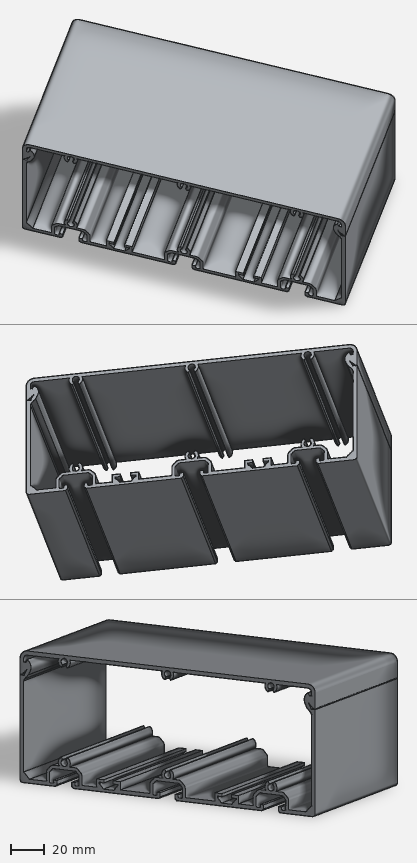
import cadquery as cq
import math

WIDTH = 200.0
LENGTH = 100.0
HEIGHT = 80.0
HALF_WIDTH = WIDTH / 2

WALL = 2.5
TOP_RADIUS = 5.0
BOTTOM_RADIUS = 2.0
INNER_BOTTOM_CHAMFER = 4.0
THIN_FLOOR = 1.8

PORT_X = (-70.0, 0.0, 70.0)
PORT_RADIUS = 4.1
PORT_BORE_RADIUS = 2.1
PORT_MOUTH = 2.3
PORT_MOUTH_FLARE = 4.6
PORT_LIP_HEIGHT = 2.0
TOP_PORT_Z = HEIGHT - 4.0

CHANNEL_HALF_WIDTH = 12.0
CHANNEL_WALL = 2.0
CHANNEL_TOP = 12.7
CHANNEL_CHAMFER = 3.5
CHANNEL_INNER_CHAMFER = CHANNEL_CHAMFER - (2 - math.sqrt(2)) * CHANNEL_WALL
CHANNEL_BLEND_RADIUS = 3.0
CHANNEL_FOOT_RADIUS = 0.7
CHANNEL_MOUTH = 10.0
CHANNEL_LIP_WIDTH = 2.2
CHANNEL_LIP_TOP = 3.7
CHANNEL_GROOVE_RADIUS = 0.9
CHANNEL_MOUTH_CHAMFER = 1.2
BOTTOM_PORT_Z = CHANNEL_TOP + PORT_BORE_RADIUS

RAIL_X = (-40.0, 40.0)
RAIL_HALF_WIDTH = 8.0
RAIL_TOP = 7.5
RAIL_MOUTH_HALF = 3.2
RAIL_CAVITY_HALF = 6.3
RAIL_FLOOR_HALF = 3.4
RAIL_LIP_BOTTOM = 5.6
RAIL_TAPER_TOP = 5.0

SNAP_TIP = (4.8, 5.2)
SNAP_CREST = (7.45, 9.4)
SNAP_HEEL = (6.9, 12.0)
SNAP_WAIST = (5.8, 14.3)
SNAP_FOOT = (3.1, 17.1)
SNAP_END = (WALL, 18.4)
SNAP_POCKET_DEPTH = 7.0
SNAP_POCKET_INSET = 3.8
SEAM_TOP = 14.7
SEAM_BOTTOM = 15.0
SEAM_BEND_INSET = 1.1
SEAM_HEEL_INSET = 2.7
SEAM_BULGE = (3.3, 13.6)
SEAM_END = (4.6, 11.4)


def prism(outline):
    """Extrude a closed XZ outline over the full length, centred on Y = 0."""
    return outline.extrude(LENGTH / 2, both=True)


def polygon(points):
    return prism(cq.Workplane("XZ").polyline(points).close())


def box(x_min, x_max, z_min, z_max):
    return polygon([(x_min, z_min), (x_max, z_min), (x_max, z_max), (x_min, z_max)])


def both_sides(body):
    return body.union(body.mirror("YZ"))


def shell():
    outer = box(-HALF_WIDTH, HALF_WIDTH, 0, HEIGHT)
    outer = outer.edges("|Y and >Z").fillet(TOP_RADIUS)
    outer = outer.edges("|Y and <Z").fillet(BOTTOM_RADIUS)
    inner = box(WALL - HALF_WIDTH, HALF_WIDTH - WALL, WALL, HEIGHT - WALL)
    inner = inner.edges("|Y and >Z").fillet(TOP_RADIUS - WALL)
    inner = inner.edges("|Y and <Z").chamfer(INNER_BOTTOM_CHAMFER)
    return outer.cut(inner)


def port_ring(x, z, direction, seat_z):
    """Ring around (x, z), trimmed at seat_z inside the wall that carries it."""
    seat_half = math.sqrt(PORT_RADIUS**2 - (z - seat_z) ** 2)
    return prism(
        cq.Workplane("XZ")
        .moveTo(x - seat_half, seat_z)
        .threePointArc((x, z + direction * PORT_RADIUS), (x + seat_half, seat_z))
        .close()
    )


def port_opening(x, z, direction):
    """Screw bore with a narrow mouth that flares at the tip."""
    bore = prism(cq.Workplane("XZ").center(x, z).circle(PORT_BORE_RADIUS))
    lip_z = z + direction * PORT_LIP_HEIGHT
    tip_z = z + direction * PORT_RADIUS
    mouth = polygon([
        (x - PORT_MOUTH / 2, z),
        (x - PORT_MOUTH / 2, lip_z),
        (x - PORT_MOUTH_FLARE / 2, tip_z),
        (x + PORT_MOUTH_FLARE / 2, tip_z),
        (x + PORT_MOUTH / 2, lip_z),
        (x + PORT_MOUTH / 2, z),
    ])
    return bore.union(mouth)


def bevel_shoulders(body, chamfer, blend_radius):
    """Chamfer the two upper edges and round the corners at both ends of each bevel."""
    beveled = body.edges("|Y and >Z").chamfer(chamfer)
    return beveled.edges("|Y and (not <Z)").fillet(blend_radius)


def channel_foot(x, side):
    """Concave fillet between the floor and the outer flank of a channel."""
    flank_x = x + side * CHANNEL_HALF_WIDTH
    center_x = flank_x + side * CHANNEL_FOOT_RADIUS
    center_z = WALL + CHANNEL_FOOT_RADIUS
    block = box(min(flank_x, center_x), max(flank_x, center_x), WALL, center_z)
    round_cut = cq.Workplane("XZ").center(center_x, center_z).circle(CHANNEL_FOOT_RADIUS)
    return block.cut(prism(round_cut))


def channel_body(x):
    body = box(x - CHANNEL_HALF_WIDTH, x + CHANNEL_HALF_WIDTH, 0, CHANNEL_TOP)
    body = bevel_shoulders(body, CHANNEL_CHAMFER, CHANNEL_BLEND_RADIUS)
    return body.union(channel_foot(x, -1)).union(channel_foot(x, 1))


def channel_opening(x):
    """T-shaped void: cavity around two upturned lips, and the mouth between them."""
    inner_half = CHANNEL_HALF_WIDTH - CHANNEL_WALL
    mouth_half = CHANNEL_MOUTH / 2
    lip_half = mouth_half + CHANNEL_LIP_WIDTH
    cavity = box(x - inner_half, x + inner_half, CHANNEL_LIP_TOP, CHANNEL_TOP - CHANNEL_WALL)
    cavity = bevel_shoulders(cavity, CHANNEL_INNER_CHAMFER, CHANNEL_BLEND_RADIUS - CHANNEL_WALL)
    opening = cavity.union(box(x - mouth_half, x + mouth_half, 0, CHANNEL_LIP_TOP))
    for groove_start in (x - inner_half, x + lip_half):
        groove_end = groove_start + inner_half - lip_half
        groove = box(groove_start, groove_end, THIN_FLOOR, CHANNEL_LIP_TOP)
        opening = opening.union(groove.edges("|Y and <Z").fillet(CHANNEL_GROOVE_RADIUS))
    chamfer_half = mouth_half + CHANNEL_MOUTH_CHAMFER
    return opening.union(polygon([
        (x - chamfer_half, 0),
        (x + chamfer_half, 0),
        (x + mouth_half, CHANNEL_MOUTH_CHAMFER),
        (x - mouth_half, CHANNEL_MOUTH_CHAMFER),
    ]))


def rail_body(x):
    return box(x - RAIL_HALF_WIDTH, x + RAIL_HALF_WIDTH, 0, RAIL_TOP)


def rail_opening(x):
    """Undercut groove whose lower flanks taper to a narrow floor."""
    right_flank = [
        (RAIL_FLOOR_HALF, THIN_FLOOR),
        (RAIL_CAVITY_HALF, RAIL_TAPER_TOP),
        (RAIL_CAVITY_HALF, RAIL_LIP_BOTTOM),
        (RAIL_MOUTH_HALF, RAIL_LIP_BOTTOM),
        (RAIL_MOUTH_HALF, RAIL_TOP),
    ]
    points = [(x + dx, z) for dx, z in right_flank]
    points += [(x - dx, z) for dx, z in reversed(right_flank)]
    return polygon(points)


def from_corner(inset, depth):
    """Point measured from the left side face and the top face."""
    return (inset - HALF_WIDTH, HEIGHT - depth)


def snap_joint():
    """Rounded snap hook along the left wall, leaning back to the wall below."""
    return prism(
        cq.Workplane("XZ")
        .moveTo(*from_corner(*SNAP_TIP))
        .threePointArc(from_corner(*SNAP_CREST), from_corner(*SNAP_HEEL))
        .lineTo(*from_corner(*SNAP_WAIST))
        .lineTo(*from_corner(*SNAP_FOOT))
        .lineTo(*from_corner(*SNAP_END))
        .lineTo(*from_corner(WALL / 2, SNAP_END[1]))
        .lineTo(*from_corner(WALL / 2, SNAP_POCKET_DEPTH))
        .lineTo(*from_corner(SNAP_POCKET_INSET, SNAP_POCKET_DEPTH))
        .close()
    )


def snap_seam():
    """Thin gap from the left side face that widens and turns up behind the hook."""
    return polygon([
        from_corner(0, SEAM_TOP),
        from_corner(SEAM_BEND_INSET, SEAM_TOP),
        from_corner(*SEAM_END),
        from_corner(*SEAM_BULGE),
        from_corner(SEAM_HEEL_INSET, SEAM_BOTTOM),
        from_corner(0, SEAM_BOTTOM),
    ])


result = shell()

for port_x in PORT_X:
    result = result.union(channel_body(port_x))
    result = result.union(port_ring(port_x, TOP_PORT_Z, -1, HEIGHT - WALL / 2))
    result = result.union(port_ring(port_x, BOTTOM_PORT_Z, 1, CHANNEL_TOP - CHANNEL_WALL / 2))
    result = result.cut(port_opening(port_x, TOP_PORT_Z, -1))
    result = result.cut(port_opening(port_x, BOTTOM_PORT_Z, 1))
    result = result.cut(channel_opening(port_x))

for rail_x in RAIL_X:
    result = result.union(rail_body(rail_x)).cut(rail_opening(rail_x))

result = result.union(both_sides(snap_joint())).cut(both_sides(snap_seam()))